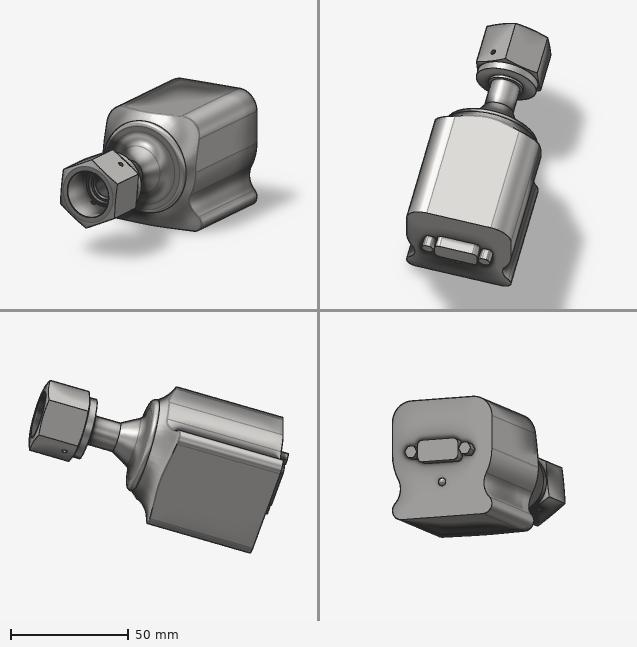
import cadquery as cq
import math


housing_width = 46.0
housing_height = 51.2
half_width = housing_width / 2
top_z = 23.1
bottom_z = top_z - housing_height
top_corner_radius = 8.9
side_radius = 22.5
waist_radius = 9.0
foot_radius = 4.2

ring_radius = 40.6 / 2
ring_rear = 54.5
ring_front = 56.8
ring_fillet = 1.9
dish_outer_radius = 35.4
dish_rear = 46.2
front_edge_fillet = 0.3

flare_arc_radius = 6.2
cone_half_angle = math.radians(29.2)
cone_front = 67.4
tube_radius = 12.7 / 2
sleeve_radius = 15.2 / 2
sleeve_rear = 79.0

collar_radius = 26.4 / 2
collar_rear = 80.2
nut_rear = 83.4
nut_front = 102.4
nut_across_flats = 26.9
nut_turn = 24.7
nut_chamfer_height = 0.8
nut_land_radius = 12.3
nut_bore_radius = 20.3 / 2
nut_mouth_radius = 20.6 / 2

gland_radius = 18.8 / 2
gland_face = 88.1
bead_radius = 0.8
bead_ring_radius = 7.5
bore_radius = 10.1 / 2
bore_mouth_radius = 11.7 / 2

vent_diameter = 2.1
vent_depth = gland_face

connector_length = 4.9
shell_width = 18.7
shell_height = 9.3
shell_corner_radius = 2.1
jackscrew_offset = 12.5
jackscrew_across_flats = 4.9
jackscrew_edge_fillet = 0.9

lamp_diameter = 3.3
lamp_z = -13.1


def plane_at(depth):
    """Cross-section plane at a depth; positive extrusion runs forward."""
    return cq.Workplane("XZ", origin=(0, -depth, 0))


def across_corners(across_flats):
    return across_flats / math.cos(math.radians(30))


def turned(profile):
    """Revolve a closed half profile about the round axis."""
    return profile.close().revolve(360, (0, 0, 0), (0, 1, 0))


def disc(radius, rear, front):
    return plane_at(rear).circle(radius).extrude(front - rear)


def point_between(start, end, distance):
    """Point at a distance from start along the line to end."""
    share = distance / math.dist(start, end)
    return (start[0] + share * (end[0] - start[0]), start[1] + share * (end[1] - start[1]))


def housing_outline():
    """Flat top and sides that swell inwards to a waist and out again to rounded feet."""
    side_centre = (half_width - side_radius, 0)
    foot_centre = (half_width - foot_radius, bottom_z + foot_radius)

    to_side = side_radius + waist_radius
    to_foot = foot_radius + waist_radius
    span = math.dist(side_centre, foot_centre)
    along = (to_side**2 - to_foot**2 + span**2) / (2 * span)
    across = math.sqrt(to_side**2 - along**2)
    foot = point_between(side_centre, foot_centre, along)
    unit_x = (foot_centre[0] - side_centre[0]) / span
    unit_z = (foot_centre[1] - side_centre[1]) / span
    waist_centre = (foot[0] - across * unit_z, foot[1] + across * unit_x)

    side_end = point_between(side_centre, waist_centre, side_radius)
    foot_start = point_between(foot_centre, waist_centre, foot_radius)
    corner_x = half_width - top_corner_radius
    corner_z = top_z - top_corner_radius

    half = (
        plane_at(0)
        .moveTo(0, top_z)
        .lineTo(corner_x, top_z)
        .tangentArcPoint((half_width, corner_z), relative=False)
        .lineTo(half_width, 0)
        .tangentArcPoint(side_end, relative=False)
        .tangentArcPoint(foot_start, relative=False)
        .tangentArcPoint((foot_centre[0], bottom_z), relative=False)
        .lineTo(0, bottom_z)
    )
    return half.mirrorY()


def housing():
    """Extruded housing whose front is turned to a concave dish, with a round ring on it."""
    block = housing_outline().extrude(ring_rear)

    reach = dish_outer_radius - ring_radius
    rise = ring_rear - dish_rear
    dish_radius = (reach**2 + rise**2) / (2 * rise)
    half_angle = math.atan2(rise, reach)
    dish_middle = (
        dish_outer_radius - dish_radius * math.sin(half_angle),
        -(dish_rear + dish_radius * (1 - math.cos(half_angle))),
    )
    envelope = turned(
        cq.Workplane("XY")
        .lineTo(dish_outer_radius, 0)
        .lineTo(dish_outer_radius, -dish_rear)
        .threePointArc(dish_middle, (ring_radius, -ring_rear))
        .lineTo(0, -ring_rear)
    )
    rim_clearance = 1.1
    rim = cq.selectors.BoxSelector(
        (-housing_width, -ring_rear + rim_clearance, -housing_width),
        (housing_width, -dish_rear + rim_clearance, housing_width),
    )
    body = block.intersect(envelope).edges(rim).fillet(front_edge_fillet)
    ring = disc(ring_radius, ring_rear, ring_front).faces("<Y").edges().fillet(ring_fillet)
    return body.union(ring)


def neck():
    """Flared cone, tube and sleeve leading into the nut."""
    corner_radius = tube_radius + (cone_front - ring_front) * math.tan(cone_half_angle)
    tangent_length = flare_arc_radius * math.tan((math.pi / 2 - cone_half_angle) / 2)
    flare_radius = corner_radius + tangent_length
    cone_rear_radius = corner_radius - tangent_length * math.sin(cone_half_angle)
    cone_rear = ring_front + tangent_length * math.cos(cone_half_angle)
    return turned(
        cq.Workplane("XY")
        .moveTo(0, -ring_front)
        .lineTo(0, -nut_rear)
        .lineTo(sleeve_radius, -nut_rear)
        .lineTo(sleeve_radius, -sleeve_rear)
        .lineTo(tube_radius, -sleeve_rear)
        .lineTo(tube_radius, -cone_front)
        .lineTo(cone_rear_radius, -cone_rear)
        .tangentArcPoint((flare_radius, -ring_front), relative=False)
    )


def nut():
    """Hexagonal coupling nut with a round collar and an open bore at the front."""
    nut_corners = across_corners(nut_across_flats)
    corner_radius = nut_corners / 2
    hexagon = (
        plane_at(nut_rear)
        .transformed(rotate=(0, 0, nut_turn))
        .polygon(6, nut_corners)
        .extrude(nut_front - nut_rear)
    )
    chamfers = turned(
        cq.Workplane("XY")
        .moveTo(0, -nut_rear)
        .lineTo(nut_land_radius, -nut_rear)
        .lineTo(corner_radius, -(nut_rear + nut_chamfer_height))
        .lineTo(corner_radius, -(nut_front - nut_chamfer_height))
        .lineTo(nut_land_radius, -nut_front)
        .lineTo(0, -nut_front)
    )
    bore = disc(nut_bore_radius, nut_rear, nut_front)
    mouth_chamfer = nut_mouth_radius - nut_bore_radius
    mouth = turned(
        cq.Workplane("XY")
        .moveTo(0, -nut_front)
        .lineTo(nut_mouth_radius, -nut_front)
        .lineTo(nut_bore_radius, -(nut_front - mouth_chamfer))
        .lineTo(0, -(nut_front - mouth_chamfer))
    )
    collar = disc(collar_radius, collar_rear, nut_rear)
    return hexagon.intersect(chamfers).cut(bore).cut(mouth).union(collar)


def gland():
    """Gland head with a raised sealing bead around its hole."""
    head = disc(gland_radius, nut_rear, gland_face)
    bead = (
        cq.Workplane("XY")
        .center(bead_ring_radius, -gland_face)
        .circle(bead_radius)
        .revolve(360, (-bead_ring_radius, 0, 0), (-bead_ring_radius, 1, 0))
    )
    return head.union(bead)


def gland_bore():
    """Blind bore through the gland and tube, with a chamfered mouth."""
    mouth_chamfer = bore_mouth_radius - bore_radius
    return turned(
        cq.Workplane("XY")
        .moveTo(0, -cone_front)
        .lineTo(bore_radius, -cone_front)
        .lineTo(bore_radius, -(gland_face - mouth_chamfer))
        .lineTo(bore_mouth_radius, -gland_face)
        .lineTo(0, -gland_face)
    )


def vent_holes():
    """Radial holes from two opposite flats into the nut bore."""
    hole_length = across_corners(nut_across_flats) / 2 - gland_radius
    hole = (
        cq.Workplane("YZ", origin=(gland_radius, -vent_depth, 0))
        .circle(vent_diameter / 2)
        .extrude(hole_length)
    )
    first_flat = nut_turn + 180 / 6
    first_hole = hole.rotate((0, 0, 0), (0, 1, 0), -first_flat)
    opposite_hole = first_hole.rotate((0, 0, 0), (0, 1, 0), 180)
    return first_hole.union(opposite_hole)


def connector():
    """Rounded connector shell between two hexagonal jackscrews."""
    shell = (
        plane_at(0)
        .rect(shell_width, shell_height)
        .extrude(-connector_length)
        .edges("|Y")
        .fillet(shell_corner_radius)
    )
    jackscrews = (
        plane_at(0)
        .pushPoints([(-jackscrew_offset, 0), (jackscrew_offset, 0)])
        .polygon(6, across_corners(jackscrew_across_flats))
        .extrude(-connector_length)
        .edges("|Y")
        .fillet(jackscrew_edge_fillet)
    )
    return shell.union(jackscrews)


def lamp():
    return cq.Workplane("XY", origin=(0, 0, lamp_z)).sphere(lamp_diameter / 2)


result = housing().union(neck()).union(nut()).union(gland())
result = result.cut(gland_bore()).cut(vent_holes())
result = result.union(connector()).union(lamp())